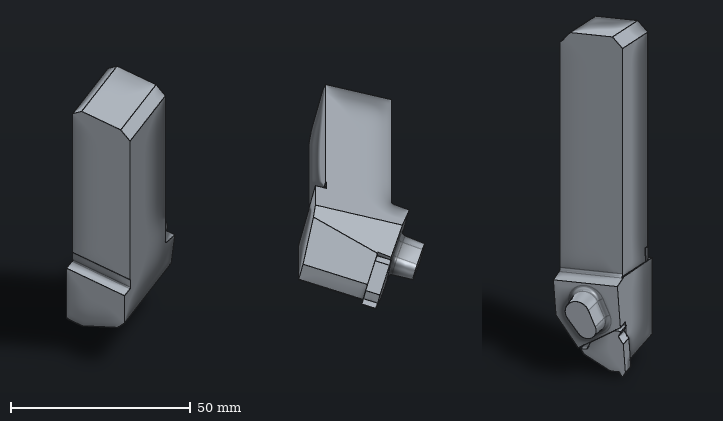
import cadquery as cq
import math

SHANK_X = 18.8
SHANK_Y = 19.0
TOTAL_Z = 98.0
TOP_CHAMFER = 3.0

NECK_BOTTOM_Z = 29.1
NECK_TOP_Z = 33.1
NECK_DEPTH = 0.3
NECK_CHAMFER = 0.4
PAD_TOP_Y = 2.4
PAD_BOTTOM_Y = 1.8

TILT = math.radians(10.5)
HEAD_FRONT_Y = -2.9
HEAD_BACK_Y = 24.1
HEAD_BACK_TOP_Z = 27.5
NECK_FILLET = 0.3
SHOULDER_FILLET = 1.1
HEAD_LEFT_FRONT_X = -0.15
HEAD_LEFT_BACK_X = -0.5
SIDE_BEVEL_X = 13.1
SIDE_BEVEL_BOTTOM_Z = 8.0
SIDE_BEVEL_TOP_Z = 16.85
UNDERSIDE_V = 2.5
UNDERSIDE_CORNER_X = 5.0
UNDERSIDE_ANGLE = math.radians(30)
EDGE_CHAMFER = 0.7

INSERT_THICKNESS = 4.2
INSERT_PROUD = 0.3
INSERT_RADIUS = 4.8
INSERT_LEFT_X = -1.1
INSERT_X = INSERT_LEFT_X + INSERT_RADIUS
INSERT_V = 7.3
CORNERS = 3
TIP_X = -0.1
TIP_V = INSERT_PROUD * math.tan(TILT)
TOOTH_LEFT_V = 1.7
TOOTH_ROOT_X = 0.9
TOOTH_ROOT_V = 1.7

BOSS_HEIGHT = 7.1
BOSS_DRAFT = 4.5
BOSS_FILLET = 1.3
UPPER_X, UPPER_V, UPPER_R = 9.2, 21.9, 3.6
LOWER_X, LOWER_V, LOWER_R = 6.9, 17.3, 2.9

TOLERANCE = 0.01
MARGIN = 49.0

BACK_PLANE_ORIGIN_Y = HEAD_BACK_Y - HEAD_BACK_TOP_Z * math.tan(TILT)


def back_plane(outward=0.0):
    """Workplane on the leaning back face; local x is X, local y runs up the face, normal points inward."""
    inward = cq.Vector(0, -math.cos(TILT), math.sin(TILT))
    origin = cq.Vector(0, BACK_PLANE_ORIGIN_Y, 0) - inward * outward
    return cq.Workplane(cq.Plane(origin, (1, 0, 0), inward))


def make_shank():
    height = TOTAL_Z - NECK_BOTTOM_Z
    shank = cq.Workplane("XY", origin=(0, 0, NECK_BOTTOM_Z)).box(SHANK_X, SHANK_Y, height, centered=False)
    shank = shank.faces(">Z").edges("|Y").chamfer(TOP_CHAMFER)
    neck = (
        cq.Workplane("YZ")
        .polyline([
            (0, NECK_BOTTOM_Z),
            (NECK_DEPTH, NECK_BOTTOM_Z),
            (NECK_DEPTH, NECK_TOP_Z - NECK_CHAMFER),
            (0, NECK_TOP_Z),
        ])
        .close()
        .extrude(SHANK_X)
    )
    return shank.cut(neck)


def make_neck_pad():
    """Low pad that carries the left side of the head up beside the neck."""
    return (
        cq.Workplane("YZ")
        .polyline([
            (NECK_DEPTH, NECK_BOTTOM_Z),
            (PAD_BOTTOM_Y, NECK_BOTTOM_Z),
            (PAD_TOP_Y, NECK_TOP_Z),
            (0, NECK_TOP_Z),
            (NECK_DEPTH, NECK_TOP_Z - NECK_CHAMFER),
        ])
        .close()
        .extrude(HEAD_LEFT_FRONT_X)
    )


def make_head_block():
    profile = (
        cq.Workplane("YZ", origin=(HEAD_LEFT_BACK_X, 0, 0))
        .polyline([
            (HEAD_FRONT_Y, 0),
            (BACK_PLANE_ORIGIN_Y, 0),
            (HEAD_BACK_Y, HEAD_BACK_TOP_Z),
            (SHANK_Y, NECK_BOTTOM_Z),
            (HEAD_FRONT_Y, NECK_BOTTOM_Z),
        ])
        .close()
        .extrude(SHANK_X - HEAD_LEFT_BACK_X)
    )
    plan = (
        cq.Workplane("XY")
        .polyline([
            (HEAD_LEFT_FRONT_X, HEAD_FRONT_Y),
            (SHANK_X, HEAD_FRONT_Y),
            (SHANK_X, HEAD_BACK_Y),
            (HEAD_LEFT_BACK_X, HEAD_BACK_Y),
        ])
        .close()
        .extrude(NECK_BOTTOM_Z)
    )
    return profile.intersect(plan)


def side_bevel():
    """Wedge removed from the lower right side of the head."""
    slope = (SIDE_BEVEL_TOP_Z - SIDE_BEVEL_BOTTOM_Z) / (SHANK_X - SIDE_BEVEL_X)
    base_x = SHANK_X - SIDE_BEVEL_TOP_Z / slope
    return (
        cq.Workplane("XZ", origin=(0, HEAD_BACK_Y, 0))
        .polyline([(base_x, 0), (SHANK_X, 0), (SHANK_X, SIDE_BEVEL_TOP_Z)])
        .close()
        .extrude(HEAD_BACK_Y - HEAD_FRONT_Y)
    )


def underside_cut():
    """Everything below the underside, which is square to the leaning back face."""
    rise = MARGIN * math.tan(UNDERSIDE_ANGLE)
    left_x = HEAD_LEFT_BACK_X - EDGE_CHAMFER
    return (
        back_plane(MARGIN)
        .polyline([
            (left_x, -MARGIN),
            (left_x, UNDERSIDE_V + 2 * EDGE_CHAMFER),
            (left_x + 2 * EDGE_CHAMFER, UNDERSIDE_V),
            (UNDERSIDE_CORNER_X, UNDERSIDE_V),
            (UNDERSIDE_CORNER_X + MARGIN, UNDERSIDE_V + rise),
            (UNDERSIDE_CORNER_X + MARGIN, -MARGIN),
        ])
        .close()
        .extrude(2 * MARGIN)
    )


def insert_pocket():
    """Open pocket below a wall that lies along the upper edge of the insert."""
    wall_v = INSERT_V + INSERT_RADIUS / math.cos(UNDERSIDE_ANGLE)
    drop = MARGIN * math.tan(UNDERSIDE_ANGLE)
    return (
        back_plane()
        .polyline([
            (INSERT_X - MARGIN, wall_v + drop),
            (INSERT_X + MARGIN, wall_v - drop),
            (INSERT_X + MARGIN, -MARGIN),
            (INSERT_X - MARGIN, -MARGIN),
        ])
        .close()
        .extrude(INSERT_THICKNESS - INSERT_PROUD)
    )


def make_boss():
    """Drafted clamp boss standing on the back face, drawn at its outer end."""
    run_x = UPPER_X - LOWER_X
    run_v = UPPER_V - LOWER_V
    axis = math.atan2(run_v, run_x)
    spread = math.acos((LOWER_R - UPPER_R) / math.hypot(run_x, run_v))

    def upper(angle):
        return (UPPER_X + UPPER_R * math.cos(angle), UPPER_V + UPPER_R * math.sin(angle))

    def lower(angle):
        return (LOWER_X + LOWER_R * math.cos(angle), LOWER_V + LOWER_R * math.sin(angle))

    return (
        back_plane(BOSS_HEIGHT)
        .moveTo(*lower(axis + spread))
        .threePointArc(lower(axis + math.pi), lower(axis - spread))
        .lineTo(*upper(axis - spread))
        .threePointArc(upper(axis), upper(axis + spread))
        .close()
        .extrude(BOSS_HEIGHT, taper=-BOSS_DRAFT)
    )


def fillet_boss_foot(head):
    """Round the foot of the boss: the edges that lie in the back face, clear of the head's sides."""
    plane = back_plane().plane
    foot_edges = [
        edge for edge in head.edges().vals()
        if abs((edge.Center() - plane.origin).dot(plane.zDir)) < TOLERANCE
        and edge.BoundingBox().xmin > TOLERANCE
        and edge.BoundingBox().xmax < SHANK_X - TOLERANCE
    ]
    return head.newObject(foot_edges).fillet(BOSS_FILLET)


def fillet_across(body, y, radius):
    """Round the inner corner, at depth y, where the shank meets the top of the head."""
    corner = cq.selectors.BoxSelector(
        (0, y - TOLERANCE, NECK_BOTTOM_Z - TOLERANCE),
        (SHANK_X, y + TOLERANCE, NECK_BOTTOM_Z + TOLERANCE),
    )
    return body.edges("|X").edges(corner).fillet(radius)


def make_holder():
    head = fillet_boss_foot(make_head_block().union(make_boss()))
    head = head.cut(side_bevel()).cut(underside_cut()).cut(insert_pocket())
    holder = head.union(make_shank())
    holder = fillet_across(holder, NECK_DEPTH, NECK_FILLET)
    holder = fillet_across(holder, SHANK_Y, SHOULDER_FILLET)
    return holder.union(make_neck_pad())


def make_insert():
    edge_x = (
        INSERT_X
        + (INSERT_RADIUS + (TOOTH_ROOT_V - INSERT_V) * math.cos(UNDERSIDE_ANGLE)) / math.sin(UNDERSIDE_ANGLE)
    )
    corner = [
        (INSERT_LEFT_X, TOOTH_LEFT_V),
        (TIP_X, TIP_V),
        (TOOTH_ROOT_X, TOOTH_ROOT_V),
        (edge_x, TOOTH_ROOT_V),
    ]
    outline = []
    for index in range(CORNERS):
        turn = 2 * math.pi * index / CORNERS
        for x, v in corner:
            dx = x - INSERT_X
            dv = v - INSERT_V
            outline.append((
                INSERT_X + dx * math.cos(turn) - dv * math.sin(turn),
                INSERT_V + dx * math.sin(turn) + dv * math.cos(turn),
            ))
    return back_plane(INSERT_PROUD).polyline(outline).close().extrude(INSERT_THICKNESS)


holder = make_holder()
insert = make_insert()
result = cq.Compound.makeCompound([*holder.solids().vals(), insert.val()])